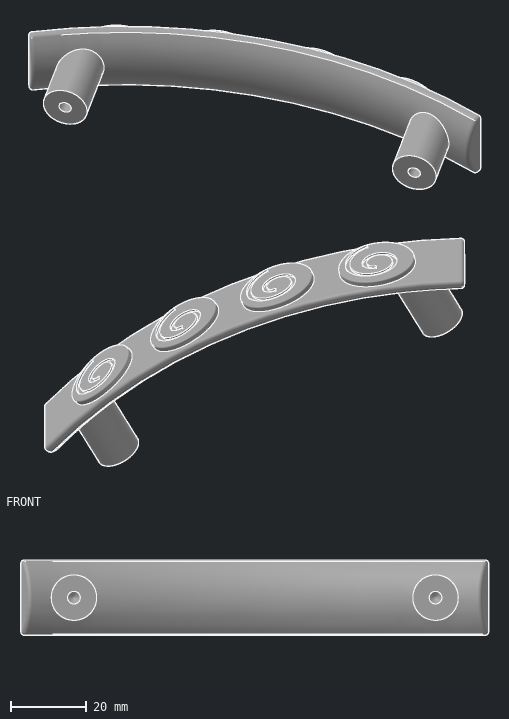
import cadquery as cq
import math

bow_chord = 125.0
bow_rise = 13.9
bow_crown = 29.7
bow_width = 20.0
bow_depth = 6.0
side_wall = 2.2
edge_fillet = 1.0

outer_radius = ((bow_chord / 2) ** 2 + bow_rise**2) / (2 * bow_rise)
bow_center = bow_crown - outer_radius
half_sweep = math.degrees(math.asin(bow_chord / 2 / outer_radius))

post_spacing = 96.0
post_diameter = 12.0
post_reach = bow_crown - bow_rise + side_wall
hole_diameter = 3.4
hole_depth = 12.4
drill_point_angle = 118

pad_height = 1.5
pad_length = 20.5
pad_width = 17.4
pad_fillet = 0.4
pad_count = 4
pad_pitch = 10.7

pad_top_radius = outer_radius + pad_height

groove_depth = 0.6
groove_half_width = 0.06
groove_radius = 0.75
groove_shrink = 0.8
groove_start = math.radians(75)
groove_sweep = math.radians(525)
spiral_samples = 60


def turn_about_bow_axis(body, angle):
    return body.rotate((0, bow_center, 0), (0, bow_center, 1), angle)


def make_bow():
    """Turn the D-shaped section about the bow axis and round every edge."""
    half_width = bow_width / 2
    wall_end = bow_crown - side_wall
    bar = (
        cq.Workplane("YZ")
        .moveTo(bow_crown, -half_width)
        .lineTo(bow_crown, half_width)
        .lineTo(wall_end, half_width)
        .threePointArc((bow_crown - bow_depth, 0), (wall_end, -half_width))
        .close()
        .revolve(2 * half_sweep, (bow_center, 0, 0), (bow_center, 1, 0))
    )
    return turn_about_bow_axis(bar, -half_sweep).edges().fillet(edge_fillet)


def concentric_band(inner, outer):
    """Ring around the bow axis, as tall as the bow is wide."""
    return (
        cq.Workplane("XY", origin=(0, bow_center, -bow_width / 2))
        .circle(outer)
        .circle(inner)
        .extrude(bow_width)
    )


def make_pad():
    """Oval at the middle of the bow, topped by a face concentric with the bow."""
    column = (
        cq.Workplane("XZ")
        .ellipse(pad_length / 2, pad_width / 2)
        .extrude(-2 * bow_crown)
    )
    pad = column.intersect(concentric_band(outer_radius - edge_fillet, pad_top_radius))
    return pad.faces(">Y").edges().fillet(pad_fillet)


def spiral_point(turned, side):
    """Point on one side of the groove after winding inward by an angle."""
    angle = groove_start - turned
    quarters = -angle / (math.pi / 2)
    radius = groove_radius * groove_shrink**quarters + side * groove_half_width
    return (
        radius * math.cos(angle) * pad_length / 2,
        radius * math.sin(angle) * pad_width / 2,
    )


def make_groove():
    """Spiral slot of even depth below the pad's curved top."""

    def outer_side(t):
        return spiral_point(t * groove_sweep, 1)

    def inner_side_back(t):
        return spiral_point((1 - t) * groove_sweep, -1)

    slot = (
        cq.Workplane("XZ")
        .parametricCurve(outer_side, N=spiral_samples, makeWire=False)
        .lineTo(*spiral_point(groove_sweep, -1))
        .parametricCurve(inner_side_back, N=spiral_samples, makeWire=False)
        .close()
        .extrude(-2 * bow_crown)
    )
    return slot.intersect(concentric_band(pad_top_radius - groove_depth, pad_top_radius + pad_height))


def make_post(x):
    return cq.Workplane("XZ", origin=(x, 0, 0)).circle(post_diameter / 2).extrude(-post_reach)


def make_hole(x):
    """Drilled hole with a conical bottom, entering from the post's foot."""
    hole_radius = hole_diameter / 2
    point_length = hole_radius / math.tan(math.radians(drill_point_angle / 2))
    return (
        cq.Workplane("XY", origin=(x, 0, 0))
        .lineTo(hole_radius, 0)
        .lineTo(hole_radius, hole_depth)
        .lineTo(0, hole_depth + point_length)
        .close()
        .revolve(360, (0, 0, 0), (0, 1, 0))
    )


result = make_bow()

for post_x in (-post_spacing / 2, post_spacing / 2):
    result = result.union(make_post(post_x)).cut(make_hole(post_x))

pad = make_pad().cut(make_groove())
for index in range(pad_count):
    pad_angle = (index - (pad_count - 1) / 2) * pad_pitch
    result = result.union(turn_about_bow_axis(pad, pad_angle))